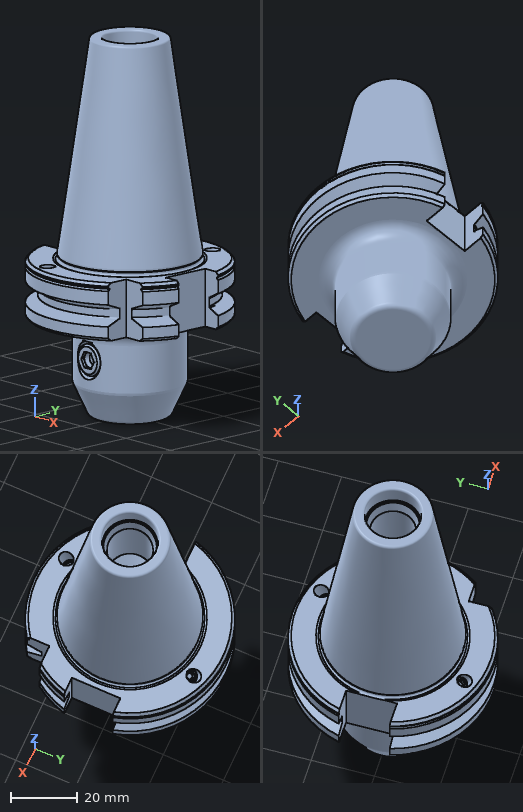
import cadquery as cq
import math

total_height = 118.4
gauge_height = 50.0
flange_top = 49.0
flange_bottom = 30.9

taper_ratio = 7 / 48
gauge_radius = 22.3
taper_start_height = 51.0
taper_top_radius = gauge_radius - taper_ratio * (total_height - gauge_height)
taper_start_radius = gauge_radius - taper_ratio * (taper_start_height - gauge_height)
taper_top_fillet = 1.0
neck_radius = 21.8
neck_top_chamfer = 0.4
undercut_depth = 0.2
undercut_fillet = 0.7
undercut_floor_radius = 22.6
undercut_rim_radius = 23.3

flange_radius = 31.79
flange_chamfer = 1.0
gripper_groove_height = 38.8
gripper_groove_half_width = 3.4
gripper_floor_radius = 28.0
gripper_floor_half_width = 1.5
gripper_floor_fillet = 0.5

thin_groove_top = flange_top - 1.3
thin_groove_width = 1.2
thin_groove_depth = 0.6

slot_width = 16.1
left_slot_floor = 22.9
right_slot_floor = 25.0
corner_cutout_offset = 18.5

nose_radius = 17.5
nose_flange_fillet = 5.0
nose_cone_height = 10.7
nose_cone_angle = math.radians(25)
nose_tip_radius = nose_radius - nose_cone_height * math.tan(nose_cone_angle)
nose_edge_fillet = 2.0

pilot_radius = 8.5
pilot_depth = 5.9
pilot_mouth_fillet = 0.8
thread_major_radius = 8.0
thread_major_depth = 6.6
thread_minor_radius = 7.0
thread_lead_depth = 9.7
thread_bore_depth = 32.0
drill_point_half_angle = math.radians(59)

screw_height = 20.0
screw_face_position = 17.4
screw_hole_radius = 5.0
screw_hole_mouth_radius = 5.9
screw_hex_size = 5.0

coolant_circle_radius = 27.0
coolant_azimuth = 70.0
coolant_tilt = 25.0
coolant_hole_radius = 2.1
coolant_screw_depth = 3.1
coolant_hex_size = 2.5

screw_rim_share = 0.14
socket_wall_share = 0.2
socket_depth_share = 0.5
socket_floor_share = 0.36
screw_length_share = 1.5

across_corners = 2 / math.sqrt(3)


def revolved(points):
    """Revolve a closed (radius, height) outline around the Z axis."""
    return cq.Workplane("XZ").polyline(points).close().revolve(360, (0, 0, 0), (0, 1, 0))


def circles_at(body, radius, height):
    """Select the circular edges of the given radius and height."""
    tolerance = 0.01
    reach = radius + tolerance
    inner = radius - tolerance
    box = cq.selectors.BoxSelector(
        (-reach, -reach, height - tolerance), (reach, reach, height + tolerance), boundingbox=True
    )
    inner_box = cq.selectors.BoxSelector(
        (-inner, -inner, height - tolerance), (inner, inner, height + tolerance), boundingbox=True
    )
    return body.edges(box - inner_box)


def make_body():
    """Turned body: nose, grooved flange and taper, with its rounded edges."""
    groove_top = gripper_groove_height + gripper_groove_half_width
    groove_bottom = gripper_groove_height - gripper_groove_half_width
    floor_top = gripper_groove_height + gripper_floor_half_width
    floor_bottom = gripper_groove_height - gripper_floor_half_width
    thin_groove_bottom = thin_groove_top - thin_groove_width
    undercut_floor = flange_top - undercut_depth
    body = revolved([
        (0, 0),
        (nose_tip_radius, 0),
        (nose_radius, nose_cone_height),
        (nose_radius, flange_bottom),
        (flange_radius - flange_chamfer, flange_bottom),
        (flange_radius, flange_bottom + flange_chamfer),
        (flange_radius, groove_bottom),
        (gripper_floor_radius, floor_bottom),
        (gripper_floor_radius, floor_top),
        (flange_radius, groove_top),
        (flange_radius, thin_groove_bottom),
        (flange_radius - thin_groove_depth, (thin_groove_top + thin_groove_bottom) / 2),
        (flange_radius, thin_groove_top),
        (flange_radius, flange_top - flange_chamfer),
        (flange_radius - flange_chamfer, flange_top),
        (undercut_rim_radius, flange_top),
        (undercut_floor_radius, undercut_floor),
        (neck_radius, undercut_floor),
        (neck_radius, gauge_height),
        (taper_start_radius, gauge_height + neck_top_chamfer),
        (taper_start_radius, taper_start_height),
        (taper_top_radius, total_height),
        (0, total_height),
    ])
    for radius, height, fillet in [
        (neck_radius, undercut_floor, undercut_fillet),
        (nose_tip_radius, 0, nose_edge_fillet),
        (nose_radius, nose_cone_height, nose_edge_fillet),
        (nose_radius, flange_bottom, nose_flange_fillet),
        (gripper_floor_radius, floor_bottom, gripper_floor_fillet),
        (gripper_floor_radius, floor_top, gripper_floor_fillet),
        (taper_top_radius, total_height, taper_top_fillet),
    ]:
        body = circles_at(body, radius, height).fillet(fillet)
    return body


def make_flange_cutouts():
    """Driving slots on -X and +X and the square cutout in the +X -Y corner."""
    height = flange_top - flange_bottom
    middle = (flange_top + flange_bottom) / 2
    reach = flange_radius
    left_slot = cq.Workplane().box(reach, slot_width, height).translate(
        (-left_slot_floor - reach / 2, 0, middle)
    )
    right_slot = cq.Workplane().box(reach, slot_width, height).translate(
        (right_slot_floor + reach / 2, 0, middle)
    )
    corner_shift = corner_cutout_offset + reach / 2
    corner = cq.Workplane().box(reach, reach, height).translate((corner_shift, -corner_shift, middle))
    return left_slot.union(right_slot).union(corner)


def make_thread_bore():
    """Pilot bore, thread lead-in and blind hole with a drill point."""
    drill_point = thread_minor_radius / math.tan(drill_point_half_angle)
    return revolved([
        (0, total_height),
        (pilot_radius, total_height),
        (pilot_radius, total_height - pilot_depth),
        (thread_major_radius, total_height - pilot_depth),
        (thread_major_radius, total_height - thread_major_depth),
        (thread_minor_radius, total_height - thread_lead_depth),
        (thread_minor_radius, total_height - thread_bore_depth),
        (0, total_height - thread_bore_depth - drill_point),
    ])


def make_screw(radius, hex_size):
    """Set screw with its face at Z = 0: bevelled rim and a hex socket that narrows to a round floor."""
    rim = screw_rim_share * radius
    wall = socket_wall_share * hex_size
    socket_depth = socket_depth_share * hex_size
    length = screw_length_share * hex_size
    blank = revolved([
        (0, 0),
        (radius - rim, 0),
        (radius, -rim),
        (radius, -length),
        (0, -length),
    ])
    hexagon = (
        cq.Workplane("XY", origin=(0, 0, -wall))
        .polygon(6, hex_size * across_corners)
        .extrude(wall)
    )
    funnel = revolved([
        (0, 0),
        (hex_size / 2, 0),
        (hex_size / 2, -wall),
        (socket_floor_share * hex_size, -socket_depth),
        (0, -socket_depth),
    ])
    return blank.cut(hexagon).cut(funnel)


def add_screw(body, hole, screw, place):
    """Cut the screw hole at its place in the body, then fill it with the screw."""
    return body.cut(place(hole)).union(place(screw))


def add_clamping_screw(body):
    """Countersunk hole and screw pointing towards -Y."""
    screw = make_screw(screw_hole_radius, screw_hex_size)
    length = screw_length_share * screw_hex_size
    flare = screw_hole_mouth_radius - screw_hole_radius
    mouth_height = nose_radius - screw_face_position
    hole = revolved([
        (0, mouth_height + nose_flange_fillet),
        (screw_hole_mouth_radius, mouth_height + nose_flange_fillet),
        (screw_hole_mouth_radius, mouth_height),
        (screw_hole_radius, mouth_height - flare),
        (screw_hole_radius, -length),
        (0, -length),
    ])

    def place(shape):
        return shape.rotate((0, 0, 0), (1, 0, 0), 90).translate((0, -screw_face_position, screw_height))

    return add_screw(body, hole, screw, place)


def add_coolant_screw(body, azimuth):
    """Hole that leans towards the axis as it goes down, closed by a recessed set screw."""
    screw = make_screw(coolant_hole_radius, coolant_hex_size)
    length = screw_length_share * coolant_hex_size
    overshoot = coolant_hole_radius
    hole = (
        cq.Workplane("XY", origin=(0, 0, -length))
        .circle(coolant_hole_radius)
        .extrude(length + coolant_screw_depth + overshoot)
    )

    def place(shape):
        return (
            shape.translate((0, 0, -coolant_screw_depth))
            .rotate((0, 0, 0), (0, 1, 0), coolant_tilt)
            .translate((coolant_circle_radius, 0, flange_top))
            .rotate((0, 0, 0), (0, 0, 1), azimuth)
        )

    return add_screw(body, hole, screw, place)


body = make_body().cut(make_thread_bore())
body = circles_at(body, pilot_radius, total_height).fillet(pilot_mouth_fillet)
body = body.cut(make_flange_cutouts())
body = add_clamping_screw(body)
for azimuth in (coolant_azimuth, coolant_azimuth + 180):
    body = add_coolant_screw(body, azimuth)
result = body